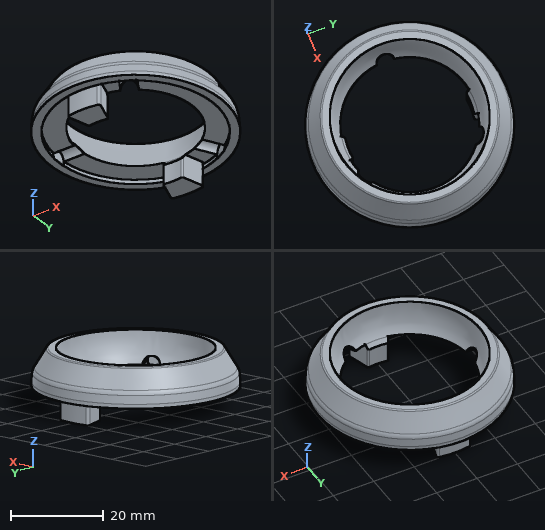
import cadquery as cq
import math

ring_height = 8.43
outer_radius = 22.65
band_height = 1.0
wall_top_radius = 22.45
wall_top_z = 2.9
shoulder_mid_radius = 22.31
shoulder_mid_z = 3.45
cone_base_radius = 21.95
cone_base_z = 3.95
cone_top_radius = 19.4
top_round_height = 0.23
top_round_mid_radius = 19.25
top_round_mid_drop = 0.07
top_face_radius = 19.03

bowl_top_radius = 17.3
bowl_mid_radius = 16.75
bowl_mid_z = 4.55
bowl_bottom_radius = 15.0
recess_depth = 1.15
recess_radius = 20.4

channel_radius = 2.0
channel_axis_z = 1.0
channel_angles = (60, 180, 300)

leg_length = 5.0
leg_inner_radius = 14.2
leg_outer_radius = 20.15
leg_inner_half_width = 2.55
leg_outer_half_width = 4.35
leg_outer_fillet = 0.6
leg_inner_fillet = 0.45
leg_angles = (0, 180)


def make_ring():
    """Revolve the ring section, given as (radius, height), around Z."""
    section = (
        cq.Workplane("XZ")
        .moveTo(recess_radius, 0)
        .lineTo(outer_radius, 0)
        .lineTo(outer_radius, band_height)
        .lineTo(wall_top_radius, wall_top_z)
        .threePointArc((shoulder_mid_radius, shoulder_mid_z), (cone_base_radius, cone_base_z))
        .lineTo(cone_top_radius, ring_height - top_round_height)
        .threePointArc(
            (top_round_mid_radius, ring_height - top_round_mid_drop),
            (top_face_radius, ring_height),
        )
        .lineTo(bowl_top_radius, ring_height)
        .threePointArc((bowl_mid_radius, bowl_mid_z), (bowl_bottom_radius, recess_depth))
        .lineTo(recess_radius, recess_depth)
        .close()
    )
    return section.revolve(360, (0, 0, 0), (0, 1, 0))


def make_channel(angle):
    """Cylinder lying along +X just below the recess ceiling, turned to the given angle."""
    return (
        cq.Workplane("YZ")
        .center(0, channel_axis_z)
        .circle(channel_radius)
        .extrude(recess_radius)
        .rotate((0, 0, 0), (0, 0, 1), angle)
    )


def arc_height(radius, half_width):
    """Y of a point on a circle about the ring axis, at X = half_width."""
    return math.sqrt(radius**2 - half_width**2)


def make_leg(angle):
    """Wedge between two arcs, rounded upright edges, sloped inner top."""
    inner_y = arc_height(leg_inner_radius, leg_inner_half_width)
    outer_y = arc_height(leg_outer_radius, leg_outer_half_width)
    leg = (
        cq.Workplane("XY")
        .workplane(offset=-leg_length)
        .moveTo(-leg_inner_half_width, inner_y)
        .threePointArc((0, leg_inner_radius), (leg_inner_half_width, inner_y))
        .lineTo(leg_outer_half_width, outer_y)
        .threePointArc((0, leg_outer_radius), (-leg_outer_half_width, outer_y))
        .close()
        .extrude(leg_length + recess_depth)
    )
    leg = leg.edges("|Z").edges(">X or <X").fillet(leg_outer_fillet)
    leg = leg.edges("|Z").edges("<Y").fillet(leg_inner_fillet)
    envelope = (
        cq.Workplane("XZ")
        .moveTo(leg_inner_radius, 0)
        .lineTo(bowl_bottom_radius, recess_depth)
        .lineTo(leg_outer_radius, recess_depth)
        .lineTo(leg_outer_radius, -leg_length)
        .lineTo(leg_inner_radius, -leg_length)
        .close()
        .revolve(360, (0, 0, 0), (0, 1, 0))
    )
    return leg.intersect(envelope).rotate((0, 0, 0), (0, 0, 1), angle)


result = make_ring()
for channel_angle in channel_angles:
    result = result.cut(make_channel(channel_angle))
for leg_angle in leg_angles:
    result = result.union(make_leg(leg_angle))